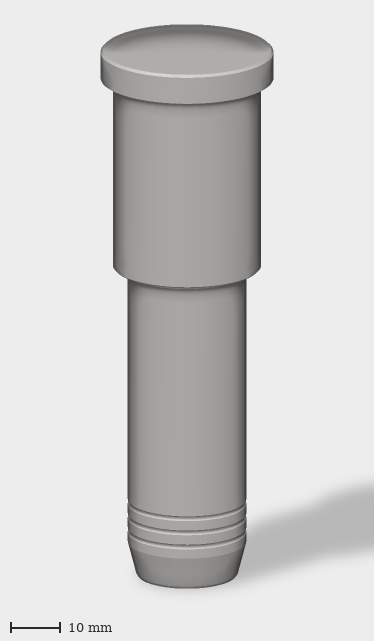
import cadquery as cq

total_length = 111.0
head_diameter = 35.0
body_diameter = 30.0
shaft_diameter = 24.0

head_height = 6.0
body_end_depth = 46.0
nose_height = 7.0

edge_chamfer = 0.5
body_chamfer = 0.3
head_relief_depth = 0.3
head_relief_height = 0.5
shaft_relief_depth = 1.0
shaft_relief_height = 1.0

nose_tip_radius = 10.3
tip_chamfer_height = 0.5
tip_chamfer_width = 0.3

groove_count = 3
groove_height = 1.0
groove_depth = 0.4
groove_pitch = 3.0
lowest_groove_center = 9.4

head_radius = head_diameter / 2
body_radius = body_diameter / 2
shaft_radius = shaft_diameter / 2
head_bottom = total_length - head_height
body_bottom = total_length - body_end_depth


def pin_blank():
    """Revolve the stepped half profile, from the tip up to the head."""
    return (
        cq.Workplane("XZ")
        .lineTo(nose_tip_radius - tip_chamfer_width, 0)
        .lineTo(nose_tip_radius, tip_chamfer_height)
        .lineTo(shaft_radius, nose_height)
        .lineTo(shaft_radius, body_bottom - shaft_relief_height)
        .lineTo(shaft_radius - shaft_relief_depth, body_bottom)
        .lineTo(body_radius - body_chamfer, body_bottom)
        .lineTo(body_radius, body_bottom + body_chamfer)
        .lineTo(body_radius, head_bottom - head_relief_height - head_relief_depth)
        .lineTo(body_radius - head_relief_depth, head_bottom - head_relief_height)
        .lineTo(body_radius - head_relief_depth, head_bottom)
        .lineTo(head_radius, head_bottom)
        .lineTo(head_radius, total_length - edge_chamfer)
        .lineTo(head_radius - edge_chamfer, total_length)
        .lineTo(0, total_length)
        .close()
        .revolve(360, (0, 0), (0, 1))
    )


def shaft_groove(center_height):
    """Ring cutter with a rounded inner side for one groove."""
    half_height = groove_height / 2
    return (
        cq.Workplane("XZ")
        .moveTo(shaft_radius + groove_depth, center_height - half_height)
        .lineTo(shaft_radius, center_height - half_height)
        .threePointArc(
            (shaft_radius - groove_depth, center_height),
            (shaft_radius, center_height + half_height),
        )
        .lineTo(shaft_radius + groove_depth, center_height + half_height)
        .close()
        .revolve(360, (0, 0), (0, 1))
    )


result = pin_blank()
for index in range(groove_count):
    result = result.cut(shaft_groove(lowest_groove_center + index * groove_pitch))